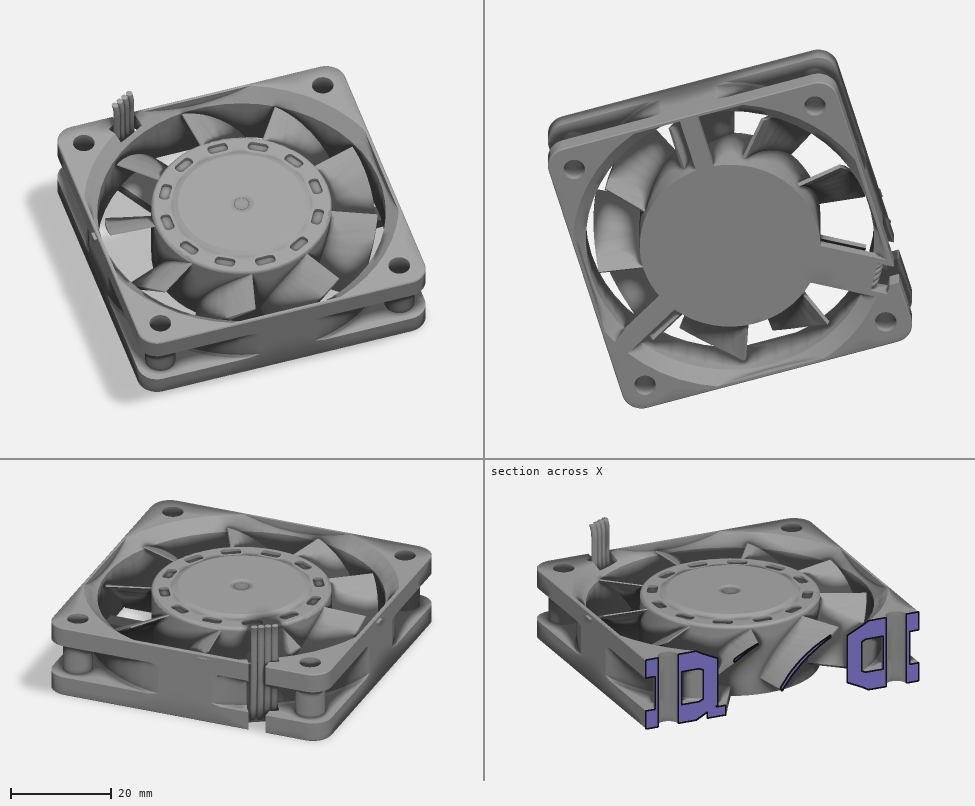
import cadquery as cq
import math

frame_side = 60.0
frame_height = 15.0
flange_thickness = 4.0
corner_radius = 4.0
rim_chamfer = 0.2
duct_bore_diameter = 57.5
duct_outer_diameter = 61.1
duct_root_chamfer = 0.4
post_diameter = 6.0
mount_hole_diameter = 4.3
mount_hole_spacing = 50.0

flare_diameter = 62.8
flare_depth = 2.4
flare_square = 58.6

hub_diameter = 36.0
hub_edge_fillet = 0.7
cap_base_diameter = 27.9
cap_top_diameter = 25.4
cap_height = 0.5
hub_slot_count = 12
hub_slot_circle_radius = 15.5
hub_slot_length = 4.1
hub_slot_width = 2.1
hub_slot_corner_radius = 0.8
hub_slot_depth = 0.8
dimple_diameter = 5.0
dimple_depth = 0.3
shaft_bore_diameter = 3.0
shaft_diameter = 2.9
shaft_bore_depth = 1.0

blade_count = 9
first_blade_angle = 90.0
blade_tip_radius = 27.2
blade_inner_section = 15.0
blade_outer_section = 29.0
blade_trailing_offset = 4.9
blade_leading_offset = 6.0
blade_leading_flare = 0.3
blade_hub_overlap = 0.5
blade_bottom = 3.6
blade_top = 14.3
blade_camber = 1.5
blade_thickness = 0.8
blade_leading_thickness = 0.25

strut_angles_and_widths = ((90.0, 3.6), (210.0, 8.4), (330.0, 3.6))
strut_height = 2.2
strut_hub_overlap = 1.0

wire_angle = 210.0
wire_count = 4
wire_diameter = 1.25
wire_pitch = 1.4
wire_row_shift = 0.3
wire_end_height = 22.56
wire_trim = 0.3
wire_bend_height = 20.0
wire_end_radius = 32.0
wire_upper_radius = 31.4
wire_middle_radius = 30.7
wire_middle_height = 5.0
wire_root_radius = 29.2
wire_root_height = 0.9
channel_inner_radius = 29.6
channel_outer_radius = 33.0
channel_width = 6.2
channel_mouth_top = -13.9
channel_mouth_bottom = -17.4
channel_mouth_end = -27.0

mark_length = 1.9
mark_height = 0.25
mark_level = 14.1
left_mark_projection = 0.3
front_mark_projection = 0.61
left_mark_y = -3.9
front_mark_x = -1.6

half_side = frame_side / 2


def cylinder(diameter, height, base=0.0):
    return cq.Workplane("XY").workplane(offset=base).circle(diameter / 2).extrude(height)


def frame_block():
    block = cq.Workplane("XY").rect(frame_side, frame_side).extrude(frame_height)
    block = block.edges("|Z").fillet(corner_radius)
    return block.faces("<Z or >Z").edges().chamfer(rim_chamfer)


def flange_gap():
    gap = cq.Workplane("XY").workplane(offset=flange_thickness).rect(frame_side, frame_side)
    return gap.extrude(frame_height - 2 * flange_thickness)


def duct_wall():
    outer = duct_outer_diameter / 2
    root = outer + duct_root_chamfer
    low = flange_thickness
    high = frame_height - flange_thickness
    profile = (
        cq.Workplane("XZ")
        .polyline([
            (0, 0),
            (root, 0),
            (root, low),
            (outer, low + duct_root_chamfer),
            (outer, high - duct_root_chamfer),
            (root, high),
            (root, frame_height),
            (0, frame_height),
        ])
        .close()
    )
    return profile.revolve(360, (0, 0, 0), (0, 1, 0))


def flares():
    throat = cq.Workplane("XY").workplane(offset=frame_height - flare_depth).circle(duct_bore_diameter / 2)
    cone = throat.workplane(offset=flare_depth).circle(flare_diameter / 2).loft(ruled=True)
    square = cq.Workplane("XY").rect(flare_square, flare_square).extrude(frame_height)
    upper = cone.intersect(square)
    lower = upper.mirror("XY", (0, 0, frame_height / 2))
    return upper.union(lower)


def wire_channel():
    depth = channel_outer_radius - channel_inner_radius
    centre = (channel_inner_radius + channel_outer_radius) / 2
    slot = (
        cq.Workplane("XY")
        .center(centre, 0)
        .rect(depth, channel_width)
        .extrude(frame_height)
        .rotate((0, 0, 0), (0, 0, 1), wire_angle)
    )
    mouth_length = half_side + channel_mouth_end
    mouth = cq.Workplane("XY").box(
        mouth_length,
        channel_mouth_top - channel_mouth_bottom,
        frame_height,
        centered=(False, False, False),
    )
    return slot.union(mouth.translate((-half_side, channel_mouth_bottom, 0)))


def build_frame():
    block = frame_block()
    flanges = block.cut(flange_gap())
    corners = cq.Workplane("XY").rect(mount_hole_spacing, mount_hole_spacing, forConstruction=True)
    posts = corners.vertices().circle(post_diameter / 2).extrude(frame_height)
    holes = corners.vertices().circle(mount_hole_diameter / 2).extrude(frame_height)
    frame = flanges.union(duct_wall().intersect(block)).union(posts)
    frame = frame.cut(cylinder(duct_bore_diameter, frame_height))
    return frame.cut(holes).cut(flares()).cut(wire_channel())


def build_hub():
    hub = cylinder(hub_diameter, frame_height).faces(">Z").edges().fillet(hub_edge_fillet)
    cap = (
        cq.Workplane("XY")
        .workplane(offset=frame_height)
        .circle(cap_base_diameter / 2)
        .workplane(offset=cap_height)
        .circle(cap_top_diameter / 2)
        .loft(ruled=True)
    )
    slots = (
        cq.Workplane("XY")
        .workplane(offset=frame_height - hub_slot_depth)
        .polarArray(hub_slot_circle_radius, 0, 360, hub_slot_count)
        .rect(hub_slot_width, hub_slot_length)
        .extrude(hub_slot_depth)
        .edges("|Z")
        .fillet(hub_slot_corner_radius)
    )
    dimple = (
        cq.Workplane("XY")
        .workplane(offset=frame_height + cap_height - dimple_depth)
        .circle(shaft_bore_diameter / 2)
        .workplane(offset=dimple_depth)
        .circle(dimple_diameter / 2)
        .loft(ruled=True)
    )
    shaft_base = frame_height - shaft_bore_depth
    bore = cylinder(shaft_bore_diameter, frame_height, shaft_base)
    shaft_top = frame_height + cap_height - dimple_depth
    shaft = cylinder(shaft_diameter, shaft_top - shaft_base, shaft_base)
    return hub.cut(slots).union(cap).cut(dimple).cut(bore).union(shaft)


def blade_section(radius):
    """Closed cambered section on a flat plane at this distance from the axis."""
    leading = blade_leading_offset + blade_leading_flare * (radius - hub_diameter / 2)
    chord_x = leading + blade_trailing_offset
    chord_z = blade_top - blade_bottom
    chord = math.hypot(chord_x, chord_z)
    normal_x = -chord_z / chord
    normal_z = chord_x / chord
    low = cq.Vector(radius, -blade_trailing_offset, blade_bottom)
    high = cq.Vector(radius, leading, blade_top)
    normal = cq.Vector(0, normal_x, normal_z)
    camber = normal * blade_camber
    thickness = normal * -blade_thickness
    leading_thickness = normal * -blade_leading_thickness
    middle = (low + high) * 0.5 + camber
    return cq.Wire.assembleEdges([
        cq.Edge.makeThreePointArc(low, middle, high),
        cq.Edge.makeLine(high, high + leading_thickness),
        cq.Edge.makeThreePointArc(high + leading_thickness, middle + thickness, low + thickness),
        cq.Edge.makeLine(low + thickness, low),
    ])


def build_blades():
    sections = [blade_section(blade_inner_section), blade_section(blade_outer_section)]
    blade = cq.Workplane(cq.Solid.makeLoft(sections, True))
    blade = blade.intersect(cylinder(2 * blade_tip_radius, frame_height))
    blade = blade.cut(cylinder(hub_diameter - 2 * blade_hub_overlap, frame_height))
    blades = cq.Workplane("XY")
    for index in range(blade_count):
        angle = first_blade_angle + index * 360 / blade_count
        blades = blades.add(blade.rotate((0, 0, 0), (0, 0, 1), angle))
    return blades.combine()


def build_strut(angle, width):
    inner = hub_diameter / 2 - strut_hub_overlap
    outer = flare_diameter / 2
    bar = cq.Workplane("XY").center((inner + outer) / 2, 0).rect(outer - inner, width)
    strut = bar.extrude(strut_height).rotate((0, 0, 0), (0, 0, 1), angle)
    return strut.cut(wire_channel()).intersect(frame_block())


def build_wire(offset):
    """One wire that leaves the duct wall, climbs the channel and bends outward at its end."""
    path = cq.Workplane("XZ", origin=(0, offset, 0)).moveTo(wire_root_radius, wire_root_height).spline(
        [
            (wire_middle_radius, wire_middle_height),
            (wire_upper_radius, frame_height),
            (wire_upper_radius, wire_bend_height),
        ],
        tangents=[(1, 1), (0, 1)],
        includeCurrent=True,
    )
    path = path.tangentArcPoint((wire_end_radius, wire_end_height + wire_trim), relative=False).wire()
    start = path.val().startPoint()
    plane = cq.Plane(origin=start.toTuple(), normal=path.val().tangentAt(0).toTuple())
    wire = cq.Workplane(plane).circle(wire_diameter / 2).sweep(path)
    wire = wire.intersect(cylinder(2 * frame_side, wire_end_height))
    return wire.rotate((0, 0, 0), (0, 0, 1), wire_angle)


def side_marks():
    depth = 2 * front_mark_projection
    left = cq.Workplane("XY").box(2 * left_mark_projection, mark_length, mark_height)
    front = cq.Workplane("XY").box(mark_length, depth, mark_height)
    return left.translate((-half_side, left_mark_y, mark_level)).union(
        front.translate((front_mark_x, -half_side, mark_level))
    )


fan = build_frame().union(build_hub()).union(build_blades())
for strut_angle, strut_width in strut_angles_and_widths:
    fan = fan.union(build_strut(strut_angle, strut_width))
for wire_index in range(wire_count):
    wire_offset = wire_row_shift + (wire_index - (wire_count - 1) / 2) * wire_pitch
    fan = fan.union(build_wire(wire_offset))

result = fan.union(side_marks())